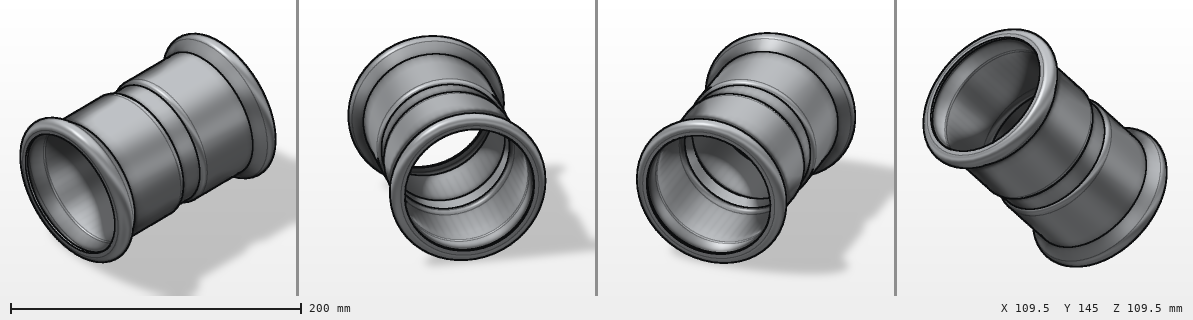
import cadquery as cq
import math

length = 145.0
rim_diameter = 109.5
sleeve_diameter = 93.5
wall = 2.0
neck_diameter = 88.9
mouth_diameter = 91.0
bead_radius = 6.1
flare_depth = 17.5
neck_half_length = 7.7
bore_blend_radius = 2.2
neck_bevel = 0.6
shoulder_length = 4.6

half_length = length / 2
sleeve_radius = sleeve_diameter / 2
neck_radius = neck_diameter / 2
bore_radius = sleeve_radius - wall
neck_bore_radius = neck_radius - wall
bevel_radius = neck_bore_radius + neck_bevel
mouth_radius = mouth_diameter / 2
bead_center_r = rim_diameter / 2 - bead_radius
bead_center_y = half_length - bead_radius
bead_inner_radius = bead_radius - wall
flare_start_y = half_length - flare_depth
shoulder_end_y = neck_half_length + shoulder_length

to_bead_r = bead_center_r - sleeve_radius
to_bead_y = bead_center_y - flare_start_y
flare_angle = math.atan2(to_bead_y, to_bead_r) - math.asin(bead_radius / math.hypot(to_bead_r, to_bead_y))
normal_angle = flare_angle - math.pi / 2
bore_flare_y = flare_start_y - wall * (1 - math.cos(normal_angle)) / math.sin(normal_angle)

bore_blend_start_y = bore_flare_y - bore_blend_radius * math.tan(-normal_angle / 2)


def bore_blend_point(angle):
    """Point on the bore rounding, turned by angle from its start at the bore."""
    radial = bore_radius + bore_blend_radius * (1 - math.cos(angle))
    return (radial, bore_blend_start_y + bore_blend_radius * math.sin(angle))


def bead_point(radius, angle):
    """Point on a circle about the bead center, as (radius, Y)."""
    return (bead_center_r + radius * math.cos(angle), bead_center_y + radius * math.sin(angle))


def neck():
    """Ring between the two sleeves, with both edges of its bore beveled."""
    return (
        cq.Workplane("XY")
        .moveTo(neck_radius, -neck_half_length)
        .lineTo(neck_radius, neck_half_length)
        .lineTo(bevel_radius, neck_half_length)
        .lineTo(neck_bore_radius, neck_half_length - neck_bevel)
        .lineTo(neck_bore_radius, -neck_half_length + neck_bevel)
        .lineTo(bevel_radius, -neck_half_length)
        .close()
        .revolve(360, (0, 0, 0), (0, 1, 0))
    )


def socket():
    """Shoulder, sleeve, flare and rolled rim on the +Y side of the neck."""
    diagonal = math.sqrt(0.5)
    shoulder_mid_y = neck_half_length + shoulder_length * (1 - diagonal)

    def shoulder_mid(start_radius, end_radius):
        return (start_radius + (end_radius - start_radius) * diagonal, shoulder_mid_y)

    arc_middle = (normal_angle + math.pi / 2) / 2
    profile = (
        cq.Workplane("XY")
        .moveTo(bevel_radius, neck_half_length)
        .lineTo(neck_radius, neck_half_length)
        .threePointArc(shoulder_mid(neck_radius, sleeve_radius), (sleeve_radius, shoulder_end_y))
        .lineTo(sleeve_radius, flare_start_y)
        .lineTo(*bead_point(bead_radius, normal_angle))
        .threePointArc(bead_point(bead_radius, arc_middle), (bead_center_r, half_length))
        .lineTo(mouth_radius, half_length)
        .lineTo(mouth_radius, half_length - wall)
        .lineTo(bead_center_r, half_length - wall)
        .threePointArc(bead_point(bead_inner_radius, arc_middle), bead_point(bead_inner_radius, normal_angle))
        .lineTo(*bore_blend_point(-normal_angle))
        .threePointArc(bore_blend_point(-normal_angle / 2), bore_blend_point(0))
        .lineTo(bore_radius, shoulder_end_y)
        .threePointArc(shoulder_mid(bevel_radius, bore_radius), (bevel_radius, neck_half_length))
        .close()
    )
    return profile.revolve(360, (0, 0, 0), (0, 1, 0))


positive_socket = socket()
result = neck().union(positive_socket).union(positive_socket.mirror("XZ"))